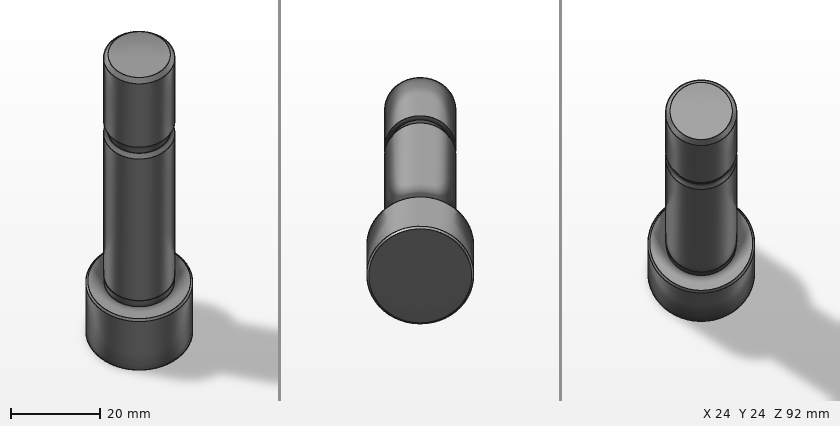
import cadquery as cq

total_length = 92.0
head_diameter = 24.0
head_height = 17.0
head_chamfer = 0.5

shank_diameter = 16.0
collar_diameter = 15.8
collar_height = 2.0
tip_length = 22.0
tip_chamfer = 1.0

groove_diameter = 14.0
groove_width = 3.0
shank_chamfer = 0.9

collar_top = head_height + collar_height
tip_bottom = total_length - tip_length
shank_top = tip_bottom - groove_width

def cylinder(diameter, bottom, top):
    """Solid cylinder on the Z axis between two heights."""
    return cq.Workplane("XY").workplane(offset=bottom).circle(diameter / 2).extrude(top - bottom)

head = cylinder(head_diameter, 0, head_height).edges().chamfer(head_chamfer)

collar = cylinder(collar_diameter, head_height, collar_top)

shank = cylinder(shank_diameter, collar_top, shank_top).faces(">Z").edges().chamfer(shank_chamfer)

groove = cylinder(groove_diameter, shank_top, tip_bottom)

tip = cylinder(shank_diameter, tip_bottom, total_length).faces(">Z").edges().chamfer(tip_chamfer)

result = head.union(collar).union(shank).union(groove).union(tip)